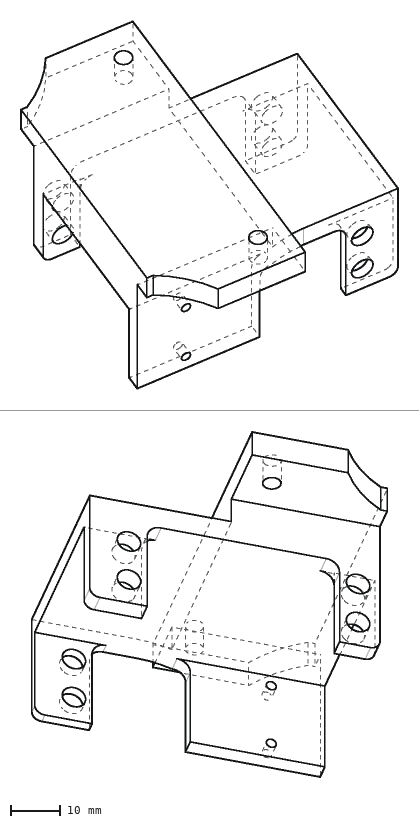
import cadquery as cq
import math

plate_width = 71.4
total_depth = 61.35
total_height = 38.0

plate_depth = 31.4
plate_thickness = 6.0
corner_cut_width = 9.65
corner_cut_back = 11.15
corner_cut_front = 1.4
corner_cut_sagitta = 0.85
plate_hole_diameter = 3.7
plate_hole_positions = [(7.65, 25.0), (63.3, 25.0)]

body_left = 14.85
body_right_front = 57.8
body_right_rear = 56.6
flare_end = 39.3
deck_top = 26.15
deck_underside = 21.1

left_inner_front = 18.8
left_inner_rear = 19.0
right_inner = 54.35
front_leg_depth = 8.6
right_front_wall_depth = 28.5
rear_leg_front = 49.2
opening_radius = 2.85
foot_radius = 2.1

bolt_diameter = 4.9
bolt_heights = [6.1, 16.0]
front_bolt_y = 4.65
rear_bolt_y = 53.1
pin_diameter = 2.1
pin_heights = [3.6, 18.6]
pin_y = 11.35


def box(x_range, y_range, z_range):
    """Make a box spanning the given ranges."""
    sizes = [end - start for start, end in (x_range, y_range, z_range)]
    corner = (x_range[0], y_range[0], z_range[0])
    return cq.Workplane("XY").box(*sizes, centered=False).translate(corner)


def cross_holes(x_range, y, heights, diameter):
    """Make cylinders along X at one Y position and several heights."""
    return (
        cq.Workplane("YZ", origin=(x_range[0], 0, 0))
        .pushPoints([(y, z) for z in heights])
        .circle(diameter / 2)
        .extrude(x_range[1] - x_range[0])
    )


def make_plate():
    """Make the top plate with concave front corners and two vertical holes."""
    left_cut = corner_cut_width
    right_cut = plate_width - corner_cut_width
    chord_rise = corner_cut_back - corner_cut_front
    chord_length = math.hypot(corner_cut_width, chord_rise)
    mid_x = corner_cut_width / 2 + corner_cut_sagitta * chord_rise / chord_length
    mid_y = (corner_cut_back + corner_cut_front) / 2
    mid_y += corner_cut_sagitta * corner_cut_width / chord_length
    return (
        cq.Workplane("XY", origin=(0, 0, total_height - plate_thickness))
        .moveTo(left_cut, 0)
        .lineTo(right_cut, 0)
        .lineTo(right_cut, corner_cut_front)
        .threePointArc((plate_width - mid_x, mid_y), (plate_width, corner_cut_back))
        .lineTo(plate_width, plate_depth)
        .lineTo(0, plate_depth)
        .lineTo(0, corner_cut_back)
        .threePointArc((mid_x, mid_y), (left_cut, corner_cut_front))
        .close()
        .extrude(plate_thickness)
    )


def make_body():
    """Make the solid body, stepped behind the plate and flared on its right side."""
    body = (
        cq.Workplane("XY")
        .moveTo(body_left, total_depth)
        .lineTo(body_right_rear, total_depth)
        .lineTo(body_right_rear, flare_end)
        .tangentArcPoint((body_right_front, plate_depth), relative=False)
        .lineTo(body_right_front, 0)
        .lineTo(body_left, 0)
        .close()
        .extrude(total_height)
    )
    step = box((0, plate_width), (plate_depth, total_depth), (deck_top, total_height))
    return body.cut(step)


def wall_opening(x_range, y_range):
    """Make a cutter for an opening with rounded upper corners."""
    opening = box(x_range, y_range, (0, deck_underside))
    return opening.edges("|X and >Z").fillet(opening_radius)


left_side = (0, plate_width / 2)
right_side = (plate_width / 2, plate_width)
across = (0, plate_width)

body = make_body()
body = body.edges("|X and <Z and >Y").fillet(foot_radius)
front_foot = box(left_side, (0, foot_radius), (0, foot_radius))
foot_round = (
    cq.Workplane("YZ").center(foot_radius, foot_radius).circle(foot_radius).extrude(left_side[1])
)
body = body.cut(front_foot.cut(foot_round))

body = body.cut(box((left_inner_rear, right_inner), (0, total_depth), (0, deck_underside)))
body = body.cut(box((left_inner_front, right_inner), (0, front_leg_depth), (0, deck_underside)))

body = body.cut(wall_opening(left_side, (front_leg_depth, rear_leg_front)))
body = body.cut(wall_opening(right_side, (right_front_wall_depth, rear_leg_front)))

body = body.cut(cross_holes(left_side, front_bolt_y, bolt_heights, bolt_diameter))
body = body.cut(cross_holes(across, rear_bolt_y, bolt_heights, bolt_diameter))
body = body.cut(cross_holes(right_side, pin_y, pin_heights, pin_diameter))

plate_holes = (
    cq.Workplane("XY")
    .pushPoints(plate_hole_positions)
    .circle(plate_hole_diameter / 2)
    .extrude(total_height)
)
result = make_plate().cut(plate_holes).union(body)